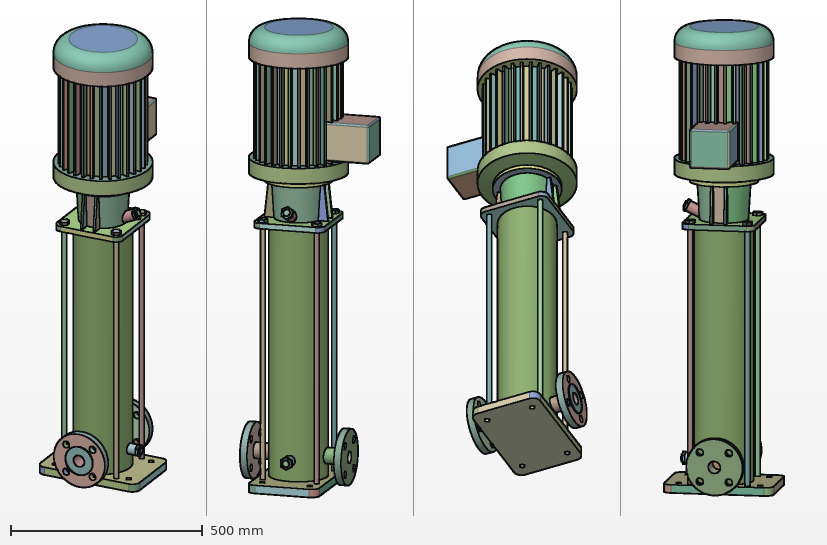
import cadquery as cq

TOTAL_HEIGHT = 1225.0

BASE_LENGTH = 290.0
BASE_WIDTH = 192.0
BASE_THICKNESS = 22.0
BASE_CORNER = 22.0
BASE_HOLE_DIAMETER = 13.0
BASE_HOLE_X = 108.0
BASE_HOLE_Y = 65.0

COLUMN_DIAMETER = 155.0
ROD_DIAMETER = 13.0
ROD_X = 76.0
ROD_Y = 74.0
HEAD_PLATE_SIZE = 192.0
HEAD_PLATE_BOTTOM = 700.0
HEAD_PLATE_THICKNESS = 15.0
HEAD_PLATE_CORNER = 20.0
NUT_DIAMETER = 27.0
NUT_HEIGHT = 7.0

PORT_HEIGHT = 80.0
FRONT_FLANGE_Y = 137.0
BACK_FLANGE_Y = 140.0
RAISED_FACE_DIAMETER = 80.0
RAISED_FACE_HEIGHT = 2.0
FLANGE_DIAMETER = 150.0
FLANGE_THICKNESS = 20.0
FLANGE_HOLE_DIAMETER = 18.0
FLANGE_BOLT_CIRCLE = 109.0
PIPE_DIAMETER = 43.0
BORE_DIAMETER = 32.0

PLUG_DIAMETER = 30.0
PLUG_TIP_DIAMETER = 18.0
PLUG_HEAD_LENGTH = 7.0
PLUG_TIP_LENGTH = 4.0
DRAIN_HEIGHT = 77.0
DRAIN_REACH = 113.0
VENT_REACH = 48.0
VENT_START_X = 61.0
VENT_START_Z = 730.0
VENT_TILT = 25.0

LANTERN_BOTTOM_DIAMETER = 129.0
LANTERN_TOP_DIAMETER = 141.0
LANTERN_TOP = 815.0
RIB_OFFSET = 18.0
RIB_THICKNESS = 6.0
RIB_BOTTOM_REACH = 87.0
RIB_TOP_REACH = 76.0

MOTOR_DIAMETER = 260.0
SPIGOT_DIAMETER = 180.0
SPIGOT_TOP = 826.0
LOWER_SHELL_BOTTOM = 834.0
LOWER_SHELL_TOP = 876.0
UPPER_SHELL_BOTTOM = 1144.0
CAP_FILLET = 40.0
CORE_DIAMETER = 198.0
FIN_DIAMETER = 234.0
FIN_THICKNESS = 6.0
FIN_COUNT = 30

BOX_WIDTH = 105.0
BOX_BOTTOM = 883.0
BOX_HEIGHT = 104.0
BOX_FACE_Y = 208.0
BOX_EDGE = 5.0

HEAD_PLATE_TOP = HEAD_PLATE_BOTTOM + HEAD_PLATE_THICKNESS


def cylinder(diameter, bottom, top):
    """Upright cylinder on the pump axis."""
    return cq.Workplane("XY").workplane(offset=bottom).circle(diameter / 2).extrude(top - bottom)


def rounded_plate(length, width, corner, bottom, thickness):
    """Flat plate with rounded vertical corners."""
    plate = cq.Workplane("XY").workplane(offset=bottom).rect(length, width).extrude(thickness)
    return plate.edges("|Z").fillet(corner)


def base_plate():
    """Foot plate with four anchor holes."""
    plate = rounded_plate(BASE_LENGTH, BASE_WIDTH, BASE_CORNER, 0, BASE_THICKNESS)
    holes = (
        cq.Workplane("XY")
        .rect(2 * BASE_HOLE_X, 2 * BASE_HOLE_Y, forConstruction=True)
        .vertices()
        .circle(BASE_HOLE_DIAMETER / 2)
        .extrude(BASE_THICKNESS)
    )
    return plate.cut(holes)


def nut():
    """Hexagonal nut with two corners pointing along Y."""
    hexagon = cq.Workplane("XY").polygon(6, NUT_DIAMETER).extrude(NUT_HEIGHT)
    return hexagon.rotate((0, 0, 0), (0, 0, 1), 90)


def column():
    """Pump tube, four tie rods, head plate and the nuts on top of it."""
    tube = cylinder(COLUMN_DIAMETER, BASE_THICKNESS, HEAD_PLATE_BOTTOM)
    rod = cylinder(ROD_DIAMETER, BASE_THICKNESS, HEAD_PLATE_BOTTOM)
    head = rounded_plate(
        HEAD_PLATE_SIZE, HEAD_PLATE_SIZE, HEAD_PLATE_CORNER, HEAD_PLATE_BOTTOM, HEAD_PLATE_THICKNESS
    )
    assembly = tube.union(head)
    for x in (-ROD_X, ROD_X):
        for y in (-ROD_Y, ROD_Y):
            assembly = assembly.union(rod.translate((x, y, 0)))
            assembly = assembly.union(nut().translate((x, y, HEAD_PLATE_TOP)))
    return assembly


def port(flange_y):
    """Flanged pipe pointing to -Y; its bore ends at the column wall."""
    face = cq.Workplane("XZ", origin=(0, -flange_y, PORT_HEIGHT))
    bolt_holes = (
        face.polarArray(FLANGE_BOLT_CIRCLE / 2, 45, 360, 4)
        .circle(FLANGE_HOLE_DIAMETER / 2)
        .extrude(-FLANGE_THICKNESS)
    )
    flange = face.circle(FLANGE_DIAMETER / 2).extrude(-FLANGE_THICKNESS).cut(bolt_holes)
    pipe = face.circle(PIPE_DIAMETER / 2).extrude(-flange_y)
    bore = face.circle(BORE_DIAMETER / 2).extrude(-flange_y)
    wall = cylinder(COLUMN_DIAMETER, BASE_THICKNESS, HEAD_PLATE_BOTTOM)
    return flange.union(pipe).cut(bore).cut(wall)


def raised_face():
    """Thin sealing ring on the outer face of the -Y flange."""
    face = cq.Workplane("XZ", origin=(0, -FRONT_FLANGE_Y, PORT_HEIGHT))
    ring = face.circle(RAISED_FACE_DIAMETER / 2).circle(BORE_DIAMETER / 2)
    return ring.extrude(RAISED_FACE_HEIGHT)


def plug(reach):
    """Plug along +X from the origin: round body, hexagonal head and small round tip."""
    body_length = reach - PLUG_HEAD_LENGTH - PLUG_TIP_LENGTH
    body = cq.Workplane("YZ").circle(PLUG_DIAMETER / 2).extrude(body_length)
    head = body.faces(">X").workplane().polygon(6, PLUG_DIAMETER, circumscribed=True).extrude(PLUG_HEAD_LENGTH)
    return head.faces(">X").workplane().circle(PLUG_TIP_DIAMETER / 2).extrude(PLUG_TIP_LENGTH)


def lantern():
    """Tapered collar carrying two thin ribs on its -Y side and two on its +Y side."""
    collar = (
        cq.Workplane("XZ")
        .moveTo(0, HEAD_PLATE_TOP)
        .lineTo(LANTERN_BOTTOM_DIAMETER / 2, HEAD_PLATE_TOP)
        .lineTo(LANTERN_TOP_DIAMETER / 2, LANTERN_TOP)
        .lineTo(0, LANTERN_TOP)
        .close()
        .revolve(360, (0, 0), (0, 1))
    )
    for x in (-RIB_OFFSET, RIB_OFFSET):
        rib = (
            cq.Workplane("YZ", origin=(x - RIB_THICKNESS / 2, 0, 0))
            .moveTo(-RIB_BOTTOM_REACH, HEAD_PLATE_TOP)
            .lineTo(RIB_BOTTOM_REACH, HEAD_PLATE_TOP)
            .lineTo(RIB_TOP_REACH, LANTERN_TOP)
            .lineTo(-RIB_TOP_REACH, LANTERN_TOP)
            .close()
            .extrude(RIB_THICKNESS)
        )
        collar = collar.union(rib)
    return collar


def motor():
    """Finned motor core between a lower shell and a domed upper shell."""
    shell_radius = MOTOR_DIAMETER / 2
    spigot_radius = SPIGOT_DIAMETER / 2
    lower_shell = (
        cq.Workplane("XZ")
        .moveTo(0, LANTERN_TOP)
        .lineTo(spigot_radius, LANTERN_TOP)
        .lineTo(spigot_radius, SPIGOT_TOP)
        .lineTo(shell_radius, LOWER_SHELL_BOTTOM)
        .lineTo(shell_radius, LOWER_SHELL_TOP)
        .lineTo(0, LOWER_SHELL_TOP)
        .close()
        .revolve(360, (0, 0), (0, 1))
    )
    upper_shell = cylinder(MOTOR_DIAMETER, UPPER_SHELL_BOTTOM, TOTAL_HEIGHT)
    upper_shell = upper_shell.faces(">Z").edges().fillet(CAP_FILLET)
    core = cylinder(CORE_DIAMETER, LOWER_SHELL_TOP, UPPER_SHELL_BOTTOM)

    for index in range(FIN_COUNT // 2):
        bar = (
            cq.Workplane("XY")
            .workplane(offset=LOWER_SHELL_TOP)
            .rect(FIN_THICKNESS, FIN_DIAMETER)
            .extrude(UPPER_SHELL_BOTTOM - LOWER_SHELL_TOP)
            .rotate((0, 0, 0), (0, 0, 1), index * 360 / FIN_COUNT)
        )
        core = core.union(bar)
    return lower_shell.union(core).union(upper_shell)


def terminal_box():
    """Box on the +Y side of the motor with rounded outer edges."""
    box = cq.Workplane("XY").box(BOX_WIDTH, BOX_FACE_Y, BOX_HEIGHT, centered=(True, False, False))
    box = box.edges("|Y or >Y").fillet(BOX_EDGE)
    return box.translate((0, 0, BOX_BOTTOM))


drain_plug = plug(DRAIN_REACH).translate((0, 0, DRAIN_HEIGHT))
vent_plug = (
    plug(VENT_REACH)
    .rotate((0, 0, 0), (0, 1, 0), -VENT_TILT)
    .translate((VENT_START_X, 0, VENT_START_Z))
)

result = (
    base_plate()
    .union(column())
    .union(port(FRONT_FLANGE_Y))
    .union(raised_face())
    .union(port(BACK_FLANGE_Y).mirror("XZ"))
    .union(drain_plug)
    .union(vent_plug)
    .union(lantern())
    .union(motor())
    .union(terminal_box())
)